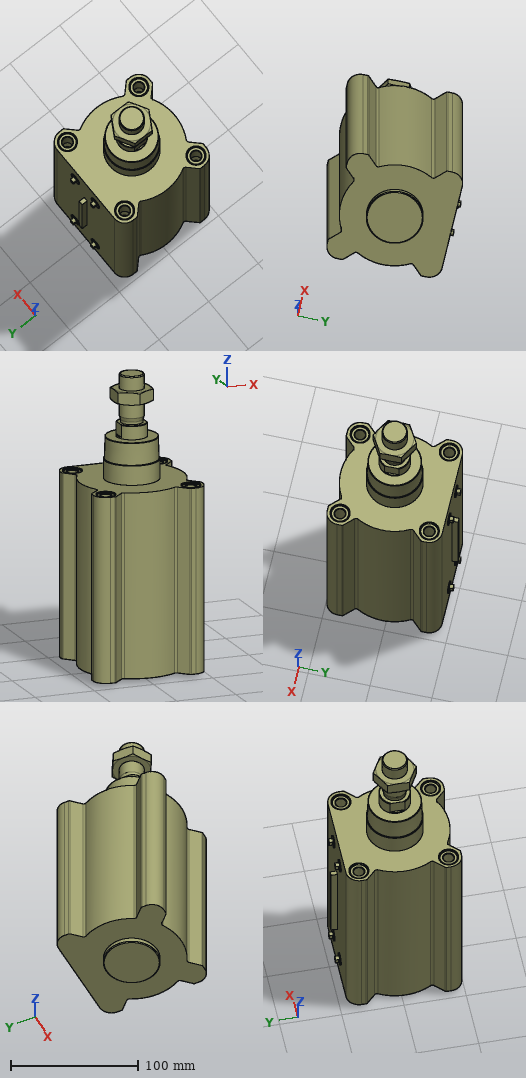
import cadquery as cq
import math

overall_height = 242.5

rear_boss_height = 4.4
barrel_top = 157.0
barrel_width = 93.0
lug_spacing = 72.0
half_width = barrel_width / 2
lug_offset = lug_spacing / 2
lug_radius = half_width - lug_offset
barrel_radius = 43.7
notch_fillet = 2.2
lug_edge_fillet = 1.5
wall_outer = lug_offset - lug_radius * (math.sqrt(2) - 1)

boss_diameter = 45.0
front_boss_top = 173.2
collar_base_diameter = 43.5
collar_top_diameter = 42.5
collar_top = 191.5
boss_chamfer = 0.7
boss_rim_chamfer = 0.5
collar_chamfer = 0.5

socket_diameter = 15.8
socket_rim_depth = 0.5
socket_ledge_diameter = 15.0
socket_floor_diameter = 13.5
socket_depth = 1.0
thread_mouth_diameter = 9.5
thread_diameter = 8.5
thread_depth = 17.0
pilot_diameter = 5.3
pilot_depth = 21.8

bar_width = 3.6
bar_height = 5.0
bar_bottom = 47.0
bar_top = 114.5
screw_offset = 12.5
screw_end_distance = 19.0
washer_diameter = 10.0
washer_thickness = 0.7
screw_collar_diameter = 5.3
screw_collar_top = 1.5
screw_head_width = 4.0
screw_head_top = 4.0

rod_diameter = 25.0
rod_flat_width = 22.0
rod_flat_bottom = 192.6
rod_shoulder = 202.8
shoulder_chamfer = 0.5
neck_diameter = 18.0
neck_top = 205.0
stud_diameter = 20.0
stud_bottom = 208.2
stud_tip_diameter = 18.5
stud_tip_height = 1.0

nut_bottom = 220.5
nut_thickness = 10.2
nut_flat_width = 30.0
nut_chamfer_height = 0.7


def revolve_profile(radius_height_points):
    """Solid of revolution about Z from (radius, height) points."""
    return cq.Workplane("XZ").polyline(radius_height_points).close().revolve(360, (0, 0), (0, 1))


def barrel_prism(profile):
    """Extrude an XY outline over the full height of the barrel."""
    return profile.extrude(barrel_top - rear_boss_height)


def make_side_relief(base):
    """Cutter for the +X side: the space outside the round barrel between two lugs."""
    wall_shift = half_width - wall_outer
    root_x = (wall_shift + math.sqrt(2 * barrel_radius**2 - wall_shift**2)) / 2
    root_y = root_x - wall_shift
    outline = (
        base.moveTo(half_width, wall_outer)
        .lineTo(root_x, root_y)
        .threePointArc((barrel_radius, 0), (root_x, -root_y))
        .lineTo(half_width, -wall_outer)
        .close()
    )
    return barrel_prism(outline).edges("|Z and <X").fillet(notch_fillet)


def round_lug_edges(barrel):
    """Soften the sharp edges where the slanted walls leave the outer faces."""
    middle = (barrel_top + rear_boss_height) / 2
    corners = []
    for side in (-1, 1):
        corners.append((side * wall_outer, -half_width, middle))
        for end in (-1, 1):
            corners.append((side * half_width, end * wall_outer, middle))
    for corner in corners:
        barrel = barrel.edges(cq.selectors.NearestToPointSelector(corner)).fillet(lug_edge_fillet)
    return barrel


def make_barrel():
    base = cq.Workplane("XY", origin=(0, 0, rear_boss_height))
    barrel = barrel_prism(base.rect(barrel_width, barrel_width))
    barrel = barrel.edges("|Z").fillet(lug_radius)
    relief = make_side_relief(base)
    for angle in (0, 180, 270):
        barrel = barrel.cut(relief.rotate((0, 0, 0), (0, 0, 1), angle))
    return round_lug_edges(barrel)


def make_bosses():
    """Rear boss, front boss and tapered collar as one core on the axis."""
    boss_radius = boss_diameter / 2
    collar_radius = collar_top_diameter / 2
    return revolve_profile([
        (0, 0),
        (boss_radius - boss_chamfer, 0),
        (boss_radius, boss_chamfer),
        (boss_radius, front_boss_top - boss_rim_chamfer),
        (boss_radius - boss_rim_chamfer, front_boss_top),
        (collar_base_diameter / 2, front_boss_top),
        (collar_radius, collar_top - collar_chamfer),
        (collar_radius - collar_chamfer, collar_top),
        (0, collar_top),
    ])


def make_tie_rod_socket():
    """Cutter: shallow stepped counterbore, countersunk thread bore and tapered pilot end."""
    floor = barrel_top - socket_depth
    countersink = (thread_mouth_diameter - thread_diameter) / 2
    rim_ledge = barrel_top - socket_rim_depth
    return revolve_profile([
        (0, barrel_top),
        (socket_diameter / 2, barrel_top),
        (socket_diameter / 2, rim_ledge),
        (socket_ledge_diameter / 2, rim_ledge),
        (socket_floor_diameter / 2, floor),
        (thread_mouth_diameter / 2, floor),
        (thread_diameter / 2, floor - countersink),
        (thread_diameter / 2, barrel_top - thread_depth),
        (pilot_diameter / 2, barrel_top - pilot_depth),
        (0, barrel_top - pilot_depth),
    ])


def make_guide_bar():
    return cq.Workplane("XY").box(
        bar_width, bar_height, bar_top - bar_bottom, centered=(True, False, False)
    ).translate((0, half_width, bar_bottom))


def make_cushion_screw(x, z):
    """Washer, round collar and flat-sided head standing on the back face."""
    face = cq.Workplane("XZ", origin=(x, half_width, z))
    washer = face.circle(washer_diameter / 2).extrude(-washer_thickness)
    collar = face.circle(screw_collar_diameter / 2).extrude(-screw_collar_top)
    head = face.circle(screw_collar_diameter / 2).extrude(-screw_head_top)
    flats = face.rect(screw_head_width, screw_collar_diameter).extrude(-screw_head_top)
    return washer.union(collar).union(head.intersect(flats))


def make_housing():
    housing = make_barrel().union(make_bosses())
    socket = make_tie_rod_socket()
    for x in (-lug_offset, lug_offset):
        for y in (-lug_offset, lug_offset):
            housing = housing.cut(socket.translate((x, y, 0)))
    housing = housing.union(make_guide_bar())
    for x in (-screw_offset, screw_offset):
        for z in (rear_boss_height + screw_end_distance, barrel_top - screw_end_distance):
            housing = housing.union(make_cushion_screw(x, z))
    return housing


def make_piston_rod():
    """Stepped rod standing on the collar, with two wrench flats facing X."""
    rod_radius = rod_diameter / 2
    rod = revolve_profile([
        (0, collar_top),
        (rod_radius, collar_top),
        (rod_radius, rod_shoulder - shoulder_chamfer),
        (rod_radius - shoulder_chamfer, rod_shoulder),
        (neck_diameter / 2, rod_shoulder),
        (neck_diameter / 2, neck_top),
        (stud_diameter / 2, stud_bottom),
        (stud_diameter / 2, overall_height - stud_tip_height),
        (stud_tip_diameter / 2, overall_height),
        (0, overall_height),
    ])
    for side in (-1, 1):
        flat_cutter = cq.Workplane("XY").box(
            rod_diameter, rod_diameter, rod_shoulder - rod_flat_bottom, centered=(True, True, False)
        ).translate((side * (rod_flat_width + rod_diameter) / 2, 0, rod_flat_bottom))
        rod = rod.cut(flat_cutter)
    return rod


def make_lock_nut():
    """Hexagon nut with corners on Y, chamfered at both ends around the stud."""
    corner_radius = nut_flat_width / math.sqrt(3)
    face_radius = nut_flat_width / 2
    nut_top = nut_bottom + nut_thickness
    hexagon = (
        cq.Workplane("XY", origin=(0, 0, nut_bottom))
        .polygon(6, 2 * corner_radius)
        .extrude(nut_thickness)
        .rotate((0, 0, 0), (0, 0, 1), 90)
    )
    chamfer_envelope = revolve_profile([
        (stud_diameter / 2, nut_bottom),
        (face_radius, nut_bottom),
        (corner_radius, nut_bottom + nut_chamfer_height),
        (corner_radius, nut_top - nut_chamfer_height),
        (face_radius, nut_top),
        (stud_diameter / 2, nut_top),
    ])
    return hexagon.intersect(chamfer_envelope)


housing = make_housing()
piston_rod = make_piston_rod()
lock_nut = make_lock_nut()

result = cq.Compound.makeCompound([housing.val(), piston_rod.val(), lock_nut.val()])